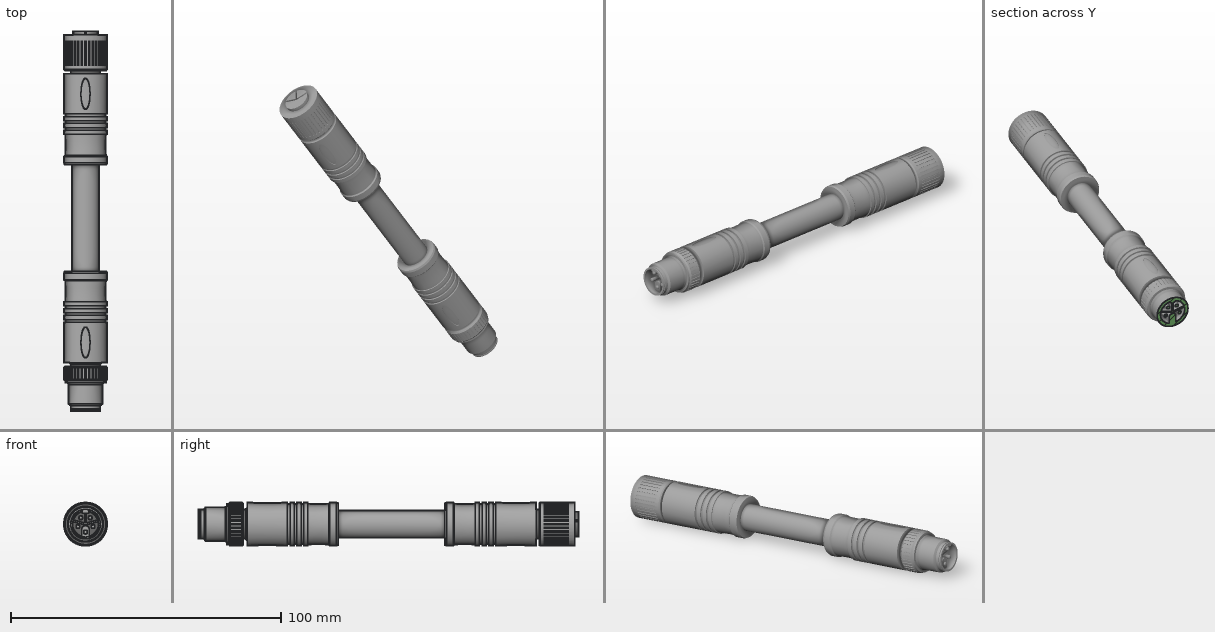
import cadquery as cq
import math

length = 140.7
socket_tip = length / 2
pin_tip = -length / 2
outer_radius = 8.0
cable_radius = 5.0

socket_grip_start = 15.8
pin_grip_start = 18.0
grip_length = 33.8
rear_bevel_length = 0.7
rear_bevel_depth = 0.3
first_groove = 14.9
groove_count = 3
groove_width = 1.0
groove_pitch = 2.5
groove_radius = 7.5
waist_start = first_groove + groove_count * groove_pitch
collar_length = 3.1
collar_slope = 0.4
waist_radius = 7.6
waist_mid_radius = 7.5
mark_length = 11.4
mark_width = 3.4
mark_centre = 7.5
mark_depth = 0.3

neck_radius = 5.5
neck_flare = 0.5
flute_count = 36
flute_width = 0.4
flute_depth = 0.3
nut_chamfer = 0.4
socket_nut_start = 1.4
socket_nut_end = 14.6
socket_flutes = (3.8, 12.7)
pin_nut_start = 10.5
pin_nut_end = 16.6
pin_flutes = (11.8, 16.0)
pin_nut_rim = 7.6
pin_rim_length = 0.7

sleeve_radius = 6.3
sleeve_flare = 0.3
flare_length = 0.7
nose_radius = 5.5
nose_step = 2.1
nose_cone_length = 0.5
nose_groove = (0.4, 0.8)
nose_groove_radius = 5.2
bore_radius = 4.8
bore_depth = 8.5

insert_radius = 4.6
pin_count = 5
pin_circle_radius = 3.0
pin_radius = 0.7
pin_recess = 1.4
pin_round = 0.4
plate_angles = (15.0, 90.0, 165.0)
plate_thickness = 0.7
plate_recess = 3.5
key_width = 2.3
key_height = 0.7
pedestal_height = 6.5
pedestal_width = 2.8
pedestal_offset = 0.5


def revolve(profile):
    """Turn a closed radius/Y outline about the Y axis."""
    return profile.close().revolve(360, (0, 0, 0), (0, 1, 0))


def cylinder(radius, y_start, y_end):
    return cq.Workplane("XZ", origin=(0, y_start, 0)).circle(radius).extrude(y_start - y_end)


def grip(front, direction):
    """Grip from its front face at Y = front, running along direction (+1 or -1)."""
    def at(radius, station):
        return (radius, front + direction * station)

    outline = cq.Workplane("XY").moveTo(*at(0, 0)).lineTo(*at(outer_radius, 0))
    for i in range(groove_count):
        start = first_groove + i * groove_pitch
        end = start + groove_width
        outline = outline.lineTo(*at(outer_radius, start)).lineTo(*at(groove_radius, start))
        outline = outline.lineTo(*at(groove_radius, end)).lineTo(*at(outer_radius, end))
    collar_start = grip_length - collar_length
    waist_end = collar_start - collar_slope
    outline = (
        outline.lineTo(*at(outer_radius, waist_start))
        .lineTo(*at(waist_radius, waist_start))
        .threePointArc(at(waist_mid_radius, (waist_start + waist_end) / 2), at(waist_radius, waist_end))
        .lineTo(*at(outer_radius, collar_start))
        .lineTo(*at(outer_radius, grip_length - rear_bevel_length))
        .lineTo(*at(outer_radius - rear_bevel_depth, grip_length))
        .lineTo(*at(0, grip_length))
    )
    mark_y = front + direction * mark_centre
    marks = (
        cq.Workplane("XY", origin=(0, mark_y, 0))
        .ellipse(mark_width / 2, mark_length / 2)
        .extrude(outer_radius, both=True)
        .cut(cylinder(outer_radius - mark_depth, mark_y - mark_length, mark_y + mark_length))
    )
    return revolve(outline).cut(marks)


def flutes(y_start, y_end):
    """Ring of straight flutes cut into a nut of the outer radius."""
    return (
        cq.Workplane("XZ", origin=(0, y_start, 0))
        .polarArray(outer_radius, 0, 360, flute_count)
        .rect(2 * flute_depth, flute_width)
        .extrude(y_start - y_end)
    )


def plates(radius, y_start, y_end):
    """Three thin radial plates that meet on the axis."""
    blades = cq.Workplane("XZ", origin=(0, y_start, 0))
    for angle in plate_angles:
        turn = math.radians(angle)
        blades = blades.pushPoints(
            [(radius / 2 * math.cos(turn), radius / 2 * math.sin(turn))]
        ).slot2D(radius + plate_thickness, plate_thickness, angle).extrude(y_start - y_end)
    return blades


def socket_head():
    """Knurled nut with a slotted insert in front and a neck behind."""
    nut_front = socket_tip - socket_nut_start
    nut_back = socket_tip - socket_nut_end
    nut = cylinder(outer_radius, nut_back, nut_front).faces("<Y").chamfer(nut_chamfer)
    nut = nut.cut(flutes(socket_tip - socket_flutes[1], socket_tip - socket_flutes[0]))
    insert = cylinder(insert_radius, nut_front, socket_tip)
    insert = insert.cut(plates(insert_radius, nut_front, socket_tip))
    neck = cylinder(neck_radius, socket_tip - socket_grip_start, nut_back)
    return nut.union(insert).union(neck)


def pin_head():
    """Sleeve, knurled nut and neck turned in one, with contacts inside the bore."""
    def at(radius, station):
        return (radius, pin_tip + station)

    bore_floor = pin_tip + bore_depth
    outline = (
        cq.Workplane("XY")
        .moveTo(*at(bore_radius, 0))
        .lineTo(*at(nose_radius, 0))
        .lineTo(*at(nose_radius, nose_groove[0]))
        .lineTo(*at(nose_groove_radius, nose_groove[0]))
        .lineTo(*at(nose_groove_radius, nose_groove[1]))
        .lineTo(*at(nose_radius, nose_groove[1]))
        .lineTo(*at(nose_radius, nose_step))
        .lineTo(*at(sleeve_radius, nose_step + nose_cone_length))
        .lineTo(*at(sleeve_radius, pin_nut_start - flare_length))
        .lineTo(*at(sleeve_radius + sleeve_flare, pin_nut_start))
        .lineTo(*at(pin_nut_rim, pin_nut_start))
        .lineTo(*at(pin_nut_rim, pin_nut_start + pin_rim_length))
        .lineTo(*at(outer_radius, pin_flutes[0]))
        .lineTo(*at(outer_radius, pin_flutes[1]))
        .lineTo(*at(pin_nut_rim, pin_nut_end))
        .lineTo(*at(neck_radius, pin_nut_end))
        .lineTo(*at(neck_radius, pin_grip_start - neck_flare))
        .lineTo(*at(neck_radius + neck_flare, pin_grip_start))
        .lineTo(*at(0, pin_grip_start))
        .lineTo(*at(0, bore_depth))
        .lineTo(*at(bore_radius, bore_depth))
    )
    head = revolve(outline).cut(flutes(pin_tip + pin_flutes[0], pin_tip + pin_flutes[1]))
    pins = (
        cq.Workplane("XZ", origin=(0, bore_floor, 0))
        .polarArray(pin_circle_radius, -90, 360, pin_count)
        .circle(pin_radius)
        .extrude(bore_depth - pin_recess)
        .faces("<Y")
        .edges()
        .fillet(pin_round)
    )
    key = (
        cq.Workplane("XZ", origin=(0, bore_floor, 0))
        .center(0, bore_radius)
        .rect(key_width, 2 * key_height)
        .extrude(bore_depth)
        .intersect(cylinder(nose_groove_radius, pin_tip, bore_floor))
    )
    pedestal_centre = -pedestal_offset - pedestal_width / 2
    pedestal = (
        cq.Workplane("XZ", origin=(0, bore_floor, 0))
        .moveTo(-pedestal_width / 2, -bore_radius)
        .lineTo(-pedestal_width / 2, pedestal_centre)
        .threePointArc((0, -pedestal_offset), (pedestal_width / 2, pedestal_centre))
        .lineTo(pedestal_width / 2, -bore_radius)
        .close()
        .extrude(pedestal_height)
    )
    dividers = plates(bore_radius, pin_tip + plate_recess, bore_floor)
    return head.union(pins).union(key).union(pedestal).union(dividers)


socket_grip_front = socket_tip - socket_grip_start
pin_grip_front = pin_tip + pin_grip_start
cable = cylinder(cable_radius, pin_grip_front + grip_length, socket_grip_front - grip_length)
result = (
    cable.union(grip(socket_grip_front, -1))
    .union(grip(pin_grip_front, 1))
    .union(socket_head())
    .union(pin_head())
)